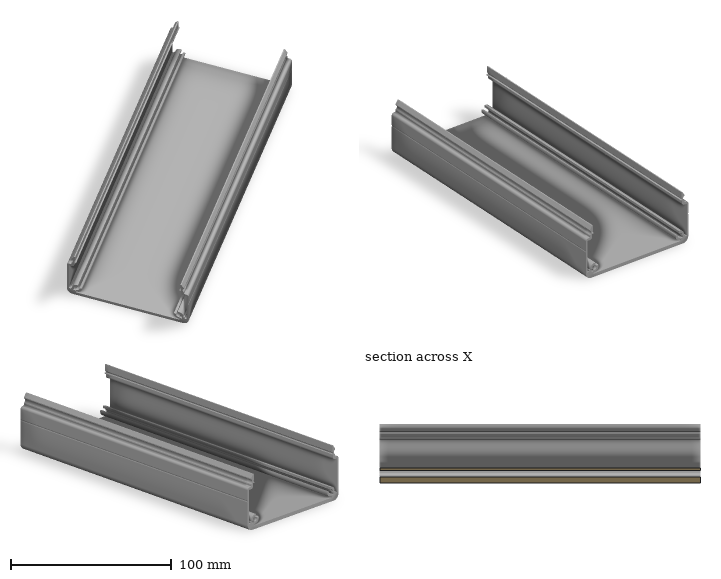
import cadquery as cq
import math

length = 200.0
width = 80.0
height = 37.0

floor_thickness = 2.5
wall_thickness = 1.2
bottom_radius = 4.0
mark_height = 20.0
mark_half_width = 0.5
mark_depth = 0.2

shelf_height = 29.0
shelf_thickness = 1.5
shelf_outer_radius = 1.5
shelf_fillet = 0.5
shelf_under_radius = 1.5

lip_inset = 3.0
lip_back = 4.8
lip_top = 30.2
lip_bevel_width = 0.2
lip_bevel_height = 0.5
notch_height = 32.2
notch_inset = 4.0
barb_bottom = 33.8
barb_flat = 0.5
barb_back = 5.5
barb_tip_width = 0.7
barb_back_bottom = 32.5
rib_inset = 6.0
rib_height = 31.2
rib_half_height = 0.3

boss_center = 6.5
boss_outer_radius = 3.2
boss_bore_radius = 1.7
boss_tip_length = 0.5
lower_arm_angle = 18.0
relief_far = 2.5
relief_near = 0.5
web_inner_inset = 5.8
web_outer_inset = 2.5
web_height = 5.8
web_toe_height = 4.8


def arc_middle(center_x, center_z, radius, degrees):
    """Point on a circle, used as the middle of an arc."""
    angle = math.radians(degrees)
    return center_x + radius * math.cos(angle), center_z + radius * math.sin(angle)


def section_plane():
    """XZ plane with its origin at the lower left corner of the section."""
    return cq.Workplane("XZ", origin=(-width / 2, 0, 0))


def sweep(section):
    return section.extrude(length / 2, both=True)


def half_channel():
    """Left half of floor, wall, shelf and snap lip."""
    shelf_under = shelf_height - shelf_thickness
    corner_z = shelf_height - shelf_outer_radius
    inner_radius = shelf_outer_radius - wall_thickness
    fillet_x = lip_inset - shelf_fillet
    fillet_z = shelf_height + shelf_fillet
    under_x = lip_back - shelf_under_radius
    under_z = shelf_under + shelf_under_radius
    inner_corner_z = shelf_under - inner_radius

    outline = (
        section_plane()
        .moveTo(width / 2, 0)
        .lineTo(bottom_radius, 0)
        .threePointArc(arc_middle(bottom_radius, bottom_radius, bottom_radius, 225), (0, bottom_radius))
        .lineTo(0, mark_height - mark_half_width)
        .lineTo(mark_depth, mark_height)
        .lineTo(0, mark_height + mark_half_width)
        .lineTo(0, corner_z)
        .threePointArc(
            arc_middle(shelf_outer_radius, corner_z, shelf_outer_radius, 135),
            (shelf_outer_radius, shelf_height),
        )
        .lineTo(fillet_x, shelf_height)
        .threePointArc(arc_middle(fillet_x, fillet_z, shelf_fillet, -45), (lip_inset, fillet_z))
        .lineTo(lip_inset, lip_top)
        .lineTo(lip_inset + lip_bevel_width, lip_top + lip_bevel_height)
        .threePointArc((notch_inset, notch_height), (lip_inset, barb_bottom))
        .lineTo(lip_inset, barb_bottom + barb_flat)
        .lineTo(barb_back - barb_tip_width, height)
        .lineTo(barb_back, height)
        .lineTo(barb_back, barb_back_bottom)
        .lineTo(lip_back, barb_back_bottom - (barb_back - lip_back))
        .lineTo(lip_back, rib_height + rib_half_height)
        .lineTo(rib_inset, rib_height + rib_half_height)
        .lineTo(rib_inset, rib_height - rib_half_height)
        .lineTo(lip_back, rib_height - rib_half_height)
        .lineTo(lip_back, under_z)
        .threePointArc(arc_middle(under_x, under_z, shelf_under_radius, -45), (under_x, shelf_under))
        .lineTo(shelf_outer_radius, shelf_under)
        .threePointArc(
            arc_middle(shelf_outer_radius, inner_corner_z, inner_radius, 135),
            (wall_thickness, inner_corner_z),
        )
        .lineTo(wall_thickness, web_toe_height)
        .lineTo(web_outer_inset, web_toe_height)
        .lineTo(web_outer_inset, web_height)
        .lineTo(web_inner_inset, web_height)
        .lineTo(web_inner_inset, floor_thickness)
        .lineTo(width / 2, floor_thickness)
        .close()
    )
    return sweep(outline)


def boss_circle(radius):
    return sweep(section_plane().center(boss_center, boss_center).circle(radius))


def boss_tip():
    """Straight level end of the upper boss arm."""
    arm_thickness = boss_outer_radius - boss_bore_radius
    return sweep(
        section_plane()
        .center(boss_center, boss_center + boss_bore_radius)
        .rect(boss_tip_length, arm_thickness, centered=False)
    )


def boss_opening():
    """Gap between the two boss arms, on the upper inner side."""
    reach = 2 * boss_outer_radius
    slope = math.tan(math.radians(lower_arm_angle))
    return sweep(
        section_plane()
        .center(boss_center, boss_center)
        .moveTo(boss_tip_length, boss_tip_length * slope)
        .lineTo(reach, reach * slope)
        .lineTo(reach, reach)
        .lineTo(boss_tip_length, reach)
        .close()
    )


def relief_notch():
    """Square-cornered notch in the bore, toward the bottom corner of the channel."""
    start = boss_center - relief_far
    size = relief_far - relief_near
    return sweep(section_plane().center(start, start).rect(size, size, centered=False))


bore = boss_circle(boss_bore_radius)
boss = boss_circle(boss_outer_radius).cut(boss_opening()).union(boss_tip())
half = half_channel().union(boss).cut(bore).cut(relief_notch())
result = half.union(half.mirror("YZ")).clean()